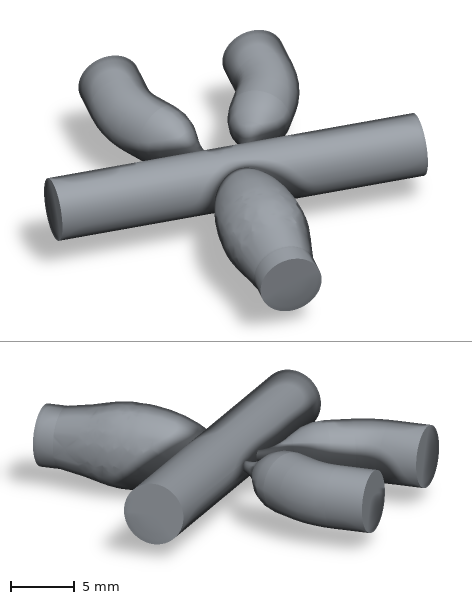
import cadquery as cq
import math

overall = 30.0
tube_diameter = 5.0
tube_radius = tube_diameter / 2

bulb_end_x = 13.32
bulb_max_radius = 3.465
bulb_max_x = 7.7
bulb_root_radius = 1.02
bulb_root_side = (2.52, 2.45)
bulb_root_slope = 0.6
bulb_root_side_slope = 0.45
bulb_tail_slope = -0.1

arm_offset_y = 5.9
arm_straight = 3.12
bend_radius = 6.0
bend_angle = 30.0
collar_length = 2.0

shoulder_length = 2.75
shoulder_radius = 1.47
neck_length = 2.75
tip_radius = 0.42
tip_length = 1.2


def make_rod():
    """Full-length round rod along Y."""
    return cq.Workplane("XZ").circle(tube_radius).extrude(overall / 2, both=True)


def make_bulb():
    """Swollen stem from the rod axis to a plain cylindrical end."""
    end_x = overall / 2
    curve = [
        bulb_root_side,
        (bulb_max_x, bulb_max_radius),
        (bulb_end_x, tube_radius),
    ]
    slopes = [bulb_root_slope, bulb_root_side_slope, 0, bulb_tail_slope]
    tangents = [(1, slope) for slope in slopes]
    profile = (
        cq.Workplane("XY")
        .lineTo(0, bulb_root_radius)
        .spline(curve, tangents=tangents, includeCurrent=True)
        .lineTo(end_x, tube_radius)
        .lineTo(end_x, 0)
        .close()
    )
    return profile.revolve(360, (0, 0, 0), (1, 0, 0))


def make_nozzle():
    """Collar and tapering nozzle along +X, starting at the origin."""
    shoulder_end = collar_length + shoulder_length
    neck_end = shoulder_end + neck_length
    tip_end = neck_end + tip_length
    profile = (
        cq.Workplane("XY")
        .lineTo(0, tube_radius)
        .lineTo(collar_length, tube_radius)
        .tangentArcPoint((shoulder_end, shoulder_radius), relative=False)
        .tangentArcPoint((neck_end, tip_radius), relative=False)
        .lineTo(tip_end, tip_radius)
        .lineTo(tip_end, 0)
        .close()
    )
    return profile.revolve(360, (0, 0, 0), (1, 0, 0))


def make_arm():
    """Arm on the +Y side: straight tube, bend towards the rod, nozzle."""
    start_x = -overall / 2
    bend_start_x = start_x + arm_straight
    angle = math.radians(bend_angle)
    bend_end_x = bend_start_x + bend_radius * math.sin(angle)
    bend_end_y = arm_offset_y - bend_radius * (1 - math.cos(angle))

    straight = (
        cq.Workplane("YZ", origin=(start_x, arm_offset_y, 0))
        .circle(tube_radius)
        .extrude(arm_straight)
    )
    bend = (
        cq.Workplane("YZ", origin=(bend_start_x, arm_offset_y, 0))
        .circle(tube_radius)
        .revolve(bend_angle, (-bend_radius, 0, 0), (-bend_radius, -1, 0))
    )
    nozzle = (
        make_nozzle()
        .rotate((0, 0, 0), (0, 0, 1), -bend_angle)
        .translate((bend_end_x, bend_end_y, 0))
    )
    return straight.union(bend).union(nozzle)


arm = make_arm()
result = make_rod().union(make_bulb()).union(arm).union(arm.mirror("XZ"))